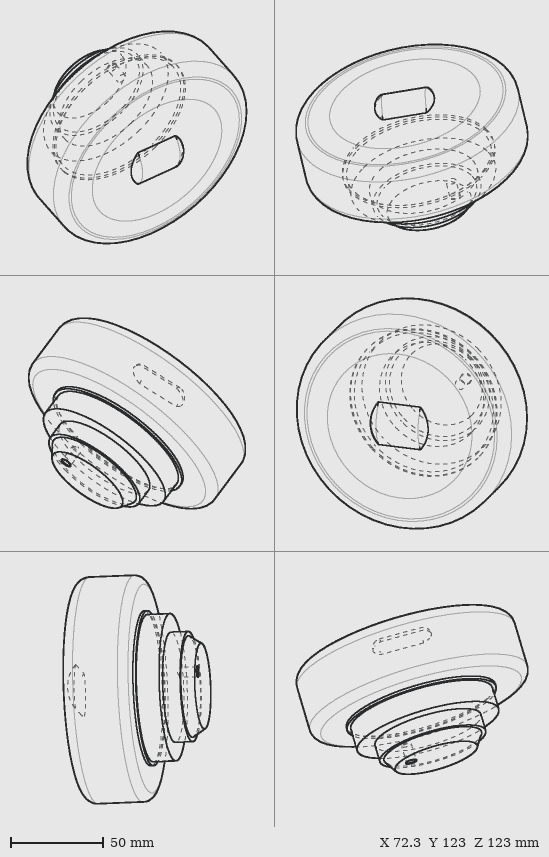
import cadquery as cq
import math

nose_end = 6.8
collar_end = 16.4
hub_end = 28.9
wheel_start = 30.4
back_round_start = 60.0
wheel_end = 67.9
overall_length = 72.3

nose_face_radius = 23.2
nose_base_radius = 27.5
collar_radius = 29.9
hub_radius = 40.0
shoulder_radius = 42.1
back_face_radius = 41.6
back_cone_radius = 53.9
wheel_radius = 61.5
front_round = 4.9
back_round = 6.2

key_half_height = 12.3
key_half_length = 12.0
key_rise = overall_length - wheel_end
key_root = 1.2

hole_y = 14.0
hole_z = 5.2
hole_radius = 2.7
hole_mouth_radius = 3.1
hole_depth = 9.8
drill_point_angle = 118.0


def make_body():
    """Revolve the half section about X; a narrow flat and a shallow cone lead to the back face."""
    back_center_r = wheel_radius - back_round
    back_middle = (
        back_round_start + back_round * math.sqrt(0.5),
        back_center_r + back_round * math.sqrt(0.5),
    )
    front_center_r = wheel_radius - front_round
    front_middle = (
        wheel_start + front_round * (1 - math.sqrt(0.5)),
        front_center_r + front_round * math.sqrt(0.5),
    )
    return (
        cq.Workplane("XY")
        .moveTo(0, 0)
        .lineTo(0, nose_face_radius)
        .lineTo(nose_end, nose_base_radius)
        .lineTo(nose_end, collar_radius)
        .lineTo(collar_end, collar_radius)
        .lineTo(collar_end, hub_radius)
        .lineTo(hub_end, hub_radius)
        .lineTo(hub_end, shoulder_radius)
        .lineTo(wheel_start, shoulder_radius)
        .lineTo(wheel_start, front_center_r)
        .threePointArc(front_middle, (wheel_start + front_round, wheel_radius))
        .lineTo(back_round_start, wheel_radius)
        .threePointArc(back_middle, (back_round_start + back_round, back_center_r))
        .lineTo(back_round_start + back_round, back_cone_radius)
        .lineTo(wheel_end, back_face_radius)
        .lineTo(wheel_end, 0)
        .close()
        .revolve(360, (0, 0, 0), (1, 0, 0))
    )


def key_section(y):
    """Circular segment in the XZ plane at the given Y, with its chord on the back face."""
    return (
        cq.Workplane("XZ", origin=(wheel_end, y, 0))
        .moveTo(0, -key_half_height)
        .threePointArc((key_rise, 0), (0, key_half_height))
        .close()
    )


def make_key():
    key = key_section(key_half_length).extrude(2 * key_half_length)
    for end_y in (-key_half_length, key_half_length):
        key = key.union(key_section(end_y).revolve(360, (0, 0, 0), (0, 1, 0)))
    root = cq.Workplane("XY").box(
        key_root, 2 * key_half_length, 2 * key_half_height
    ).translate((wheel_end - key_root / 2, 0, 0))
    return key.union(root)


def make_hole():
    """Revolved cutter with a small 45 degree mouth chamfer and a drill-point bottom."""
    tip_length = hole_radius / math.tan(math.radians(drill_point_angle / 2))
    return (
        cq.Workplane("XY", origin=(0, hole_y, hole_z))
        .moveTo(0, 0)
        .lineTo(0, hole_mouth_radius)
        .lineTo(hole_mouth_radius - hole_radius, hole_radius)
        .lineTo(hole_depth, hole_radius)
        .lineTo(hole_depth + tip_length, 0)
        .close()
        .revolve(360, (0, 0, 0), (1, 0, 0))
    )


result = make_body().union(make_key()).cut(make_hole())